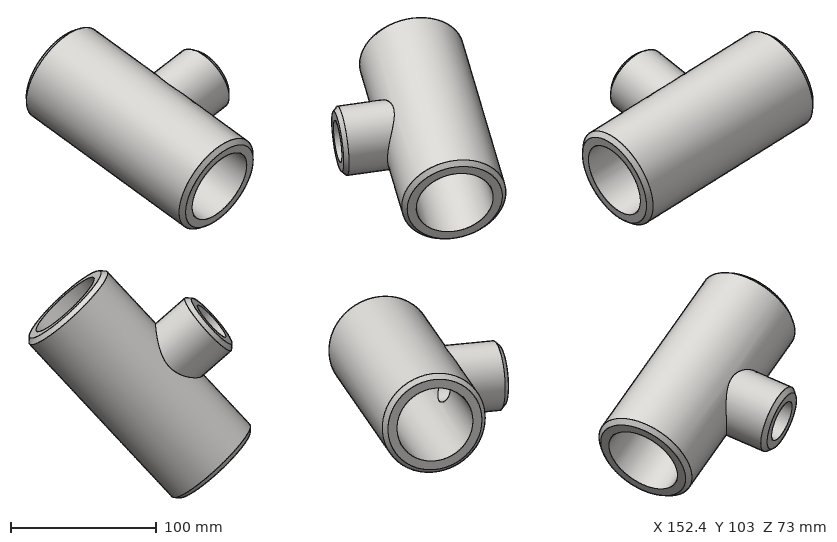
import cadquery as cq

run_length = 152.4
run_diameter = 73.0
run_bore = 53.8
wall = (run_diameter - run_bore) / 2

overall_depth = 103.0
branch_reach = overall_depth - run_diameter / 2
branch_diameter = 48.2
branch_bore = branch_diameter - 2 * wall

bevel = 3.2


def run_cylinder(diameter):
    return cq.Workplane("YZ").circle(diameter / 2).extrude(run_length / 2, both=True)


def branch_cylinder(diameter):
    return cq.Workplane("XZ").circle(diameter / 2).extrude(-branch_reach)


run = run_cylinder(run_diameter).faces("<X or >X").edges().chamfer(bevel)
branch = branch_cylinder(branch_diameter).faces(">Y").edges().chamfer(bevel)

body = run.union(branch)
result = body.cut(run_cylinder(run_bore)).cut(branch_cylinder(branch_bore))